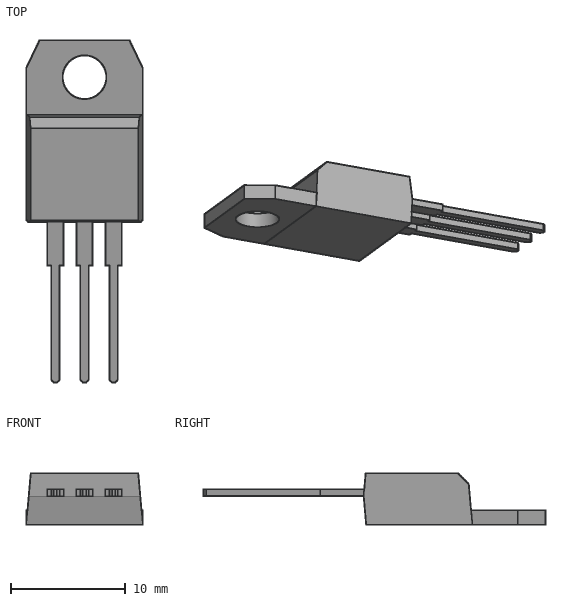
import cadquery as cq
import math


total_length = 29.9
width = 10.2
height = 4.5
lead_reach = 14.0
tab_end_y = total_length - lead_reach

draft = math.tan(math.radians(5))
parting_z = 2.5
back_chamfer = 0.95
tab_exposed_length = 6.4
housing_back_y = tab_end_y - tab_exposed_length

tab_thickness = 1.3
tab_corner_x = 1.17
tab_corner_y = 2.42
hole_diameter = 3.8
hole_to_tab_end = 3.23

lead_count = 3
lead_pitch = 2.55
lead_thickness = 0.6
shoulder_width = 1.45
shoulder_length = 3.77
pin_width = 0.75
tip_chamfer = 0.25


def back_face_y(z):
    """Y of the drafted rear face of the housing at height z."""
    return housing_back_y - draft * z


def front_face_y(z):
    """Y of the front face, which leans back above and below the parting line."""
    return draft * abs(z - parting_z)


def make_housing():
    """Side profile intersected with a trapezoid that gives the flanks their draft."""
    chamfer_z = height - back_chamfer
    chamfer_y = back_face_y(chamfer_z)
    side_profile = (
        cq.Workplane("YZ")
        .moveTo(front_face_y(0), 0)
        .lineTo(back_face_y(0), 0)
        .lineTo(chamfer_y, chamfer_z)
        .lineTo(chamfer_y - back_chamfer, height)
        .lineTo(front_face_y(height), height)
        .lineTo(front_face_y(parting_z), parting_z)
        .close()
        .extrude(width / 2, both=True)
    )
    half_bottom = width / 2
    half_top = half_bottom - draft * height
    drafted_flanks = (
        cq.Workplane("XZ")
        .polyline([(-half_bottom, 0), (half_bottom, 0), (half_top, height), (-half_top, height)])
        .close()
        .extrude(-housing_back_y)
    )
    return side_profile.intersect(drafted_flanks).solids()


def make_tab():
    """Plate with cut corners and a screw hole, ending on the housing's rear face."""
    plate = (
        cq.Workplane("YZ")
        .polyline([
            (back_face_y(0), 0),
            (tab_end_y, 0),
            (tab_end_y, tab_thickness),
            (back_face_y(tab_thickness), tab_thickness),
        ])
        .close()
        .extrude(width / 2, both=True)
    )
    corner_start_y = tab_end_y - tab_corner_y
    for side in (-1, 1):
        edge_x = side * width / 2
        corner = (
            cq.Workplane("XY")
            .moveTo(edge_x, corner_start_y)
            .lineTo(edge_x, tab_end_y)
            .lineTo(edge_x - side * tab_corner_x, tab_end_y)
            .close()
            .extrude(tab_thickness)
        )
        plate = plate.cut(corner)
    hole = (
        cq.Workplane("XY")
        .center(0, tab_end_y - hole_to_tab_end)
        .circle(hole_diameter / 2)
        .extrude(tab_thickness)
    )
    return plate.cut(hole).solids()


def make_lead(center_x, housing):
    """Stepped flat lead with a chamfered tip, trimmed to the housing's front face."""
    half_shoulder = shoulder_width / 2
    half_pin = pin_width / 2
    half_tip = half_pin - tip_chamfer
    root_y = front_face_y(parting_z + lead_thickness)
    tip_y = -lead_reach
    right_side = [
        (half_shoulder, root_y),
        (half_shoulder, -shoulder_length),
        (half_pin, -shoulder_length),
        (half_pin, tip_y + tip_chamfer),
        (half_tip, tip_y),
    ]
    left_side = [(-x, y) for x, y in reversed(right_side)]
    blank = (
        cq.Workplane("XY", origin=(center_x, 0, parting_z))
        .polyline(right_side + left_side)
        .close()
        .extrude(lead_thickness)
    )
    return blank.cut(housing).solids()


housing = make_housing()
tab = make_tab()
leads = []
for index in range(lead_count):
    lead_x = (index - (lead_count - 1) / 2) * lead_pitch
    leads.append(make_lead(lead_x, housing))

result = cq.Compound.makeCompound([housing.val(), tab.val(), *[lead.val() for lead in leads]])